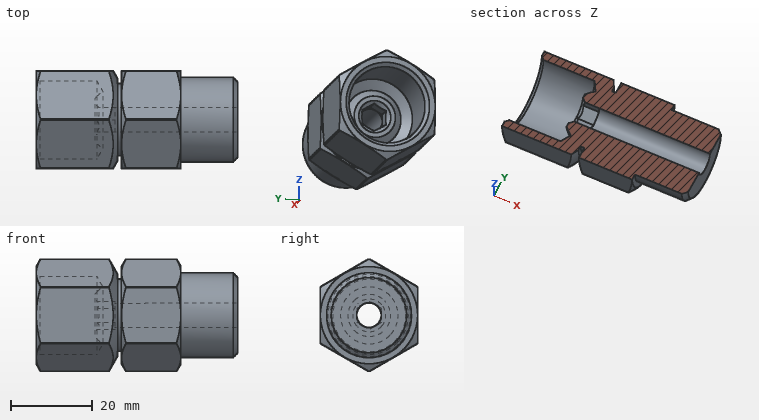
import cadquery as cq
import math

total_length = 49.45
hex_flats = 24.0
hex_corner_diameter = 27.5

nut_end = 20.0
body_hex_start = 20.9
body_hex_end = 35.5

hex_chamfer_diameter = 23.85
nut_rear_diameter = 20.2
hex_chamfer_angle = 30.0
neck_diameter = 17.8
stud_diameter = 20.8
stud_chamfer = 1.2

bore_diameter = 19.15
bore_mouth_diameter = 20.95
bore_depth = 14.85
seat_angle = 30.0

nose_diameter = 16.8
nose_root_diameter = 14.05
nose_face_diameter = 10.4

socket_mouth_diameter = 8.05
socket_flats = 6.0
socket_depth = 4.95
passage_diameter = 6.0


def revolve_about_x(profile):
    """Revolve a closed wire given as (x, radius) about the X axis."""
    return profile.close().revolve(360, (0, 0, 0), (1, 0, 0))


def cylinder(diameter, start, end):
    return cq.Workplane("YZ", origin=(start, 0, 0)).circle(diameter / 2).extrude(end - start)


def hexagon(flats, start, end):
    """Hexagonal prism along X with two corners on the Z axis."""
    corner_diameter = flats / math.cos(math.radians(30))
    prism = cq.Workplane("YZ", origin=(start, 0, 0)).polygon(6, corner_diameter).extrude(end - start)
    return prism.rotate((0, 0, 0), (1, 0, 0), 90)


def chamfered_hexagon(start, end, end_face_diameter):
    """Hexagon with its corners trimmed by a cylinder and a cone at each end."""
    corner_radius = hex_corner_diameter / 2
    slope = math.tan(math.radians(hex_chamfer_angle))
    front_radius = hex_chamfer_diameter / 2
    rear_radius = end_face_diameter / 2
    envelope = revolve_about_x(
        cq.Workplane("XY")
        .moveTo(start, 0)
        .lineTo(start, front_radius)
        .lineTo(start + (corner_radius - front_radius) * slope, corner_radius)
        .lineTo(end - (corner_radius - rear_radius) * slope, corner_radius)
        .lineTo(end, rear_radius)
        .lineTo(end, 0)
    )
    return hexagon(hex_flats, start, end).intersect(envelope)


def bore_around_nose():
    """Nut cavity: 45 degree mouth and conical seat, with the ball nose left standing inside."""
    bore_radius = bore_diameter / 2
    mouth_radius = bore_mouth_diameter / 2
    nose_radius = nose_diameter / 2
    root_radius = nose_root_diameter / 2
    face_radius = nose_face_diameter / 2
    seat_depth = (bore_radius - root_radius) * math.tan(math.radians(seat_angle))
    seat_end = bore_depth + seat_depth
    nose_center = seat_end + math.sqrt(nose_radius**2 - root_radius**2)
    nose_face = nose_center - math.sqrt(nose_radius**2 - face_radius**2)
    arc_middle_angle = (math.asin(root_radius / nose_radius) + math.asin(face_radius / nose_radius)) / 2
    arc_middle = (
        nose_center - nose_radius * math.cos(arc_middle_angle),
        nose_radius * math.sin(arc_middle_angle),
    )
    cavity = revolve_about_x(
        cq.Workplane("XY")
        .moveTo(0, 0)
        .lineTo(0, mouth_radius)
        .lineTo(mouth_radius - bore_radius, bore_radius)
        .lineTo(bore_depth, bore_radius)
        .lineTo(seat_end, root_radius)
        .threePointArc(arc_middle, (nose_face, face_radius))
        .lineTo(nose_face, 0)
    )
    return cavity, nose_face


def socket_lead_in(start):
    """45 degree countersink leading into the hexagon socket."""
    mouth_radius = socket_mouth_diameter / 2
    return revolve_about_x(
        cq.Workplane("XY").moveTo(start, 0).lineTo(start, mouth_radius).lineTo(start + mouth_radius, 0)
    )


nut = chamfered_hexagon(0, nut_end, nut_rear_diameter)
neck = cylinder(neck_diameter, nut_end, body_hex_start)
body_hex = chamfered_hexagon(body_hex_start, body_hex_end, hex_chamfer_diameter)
stud = cylinder(stud_diameter, body_hex_end, total_length).faces(">X").chamfer(stud_chamfer)

cavity, nose_face = bore_around_nose()
socket = hexagon(socket_flats, nose_face, nose_face + socket_depth)
passage = cylinder(passage_diameter, nose_face + socket_depth, total_length)

result = nut.union(neck).union(body_hex).union(stud)
result = result.cut(cavity).cut(socket_lead_in(nose_face)).cut(socket).cut(passage)